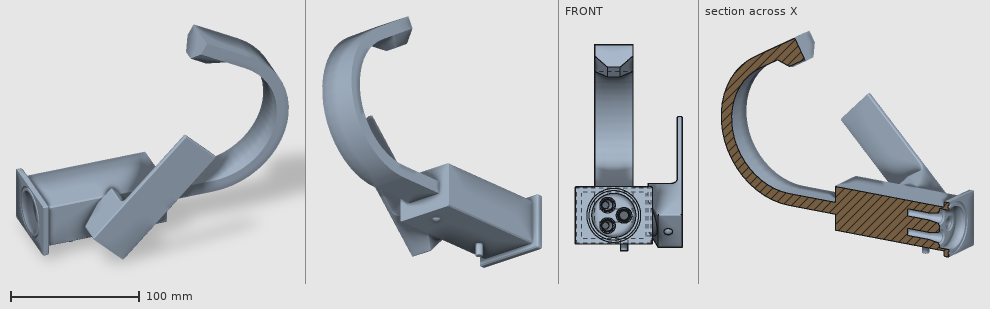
import cadquery as cq
import math


PLATE_WIDTH = 60.0
PLATE_HEIGHT = 45.0
PLATE_THICKNESS = 5.0
BODY_WIDTH = 50.0
BODY_HEIGHT = 36.1
BODY_TOP = 105.0
JOIN_OVERLAP = 2.0
BODY_CHAMFER = 1.0
PLATE_RIM_CHAMFER = 1.0
PLATE_CORNER_CHAMFER = 0.6

SPOUT_WIDTH = 30.0
SPOUT_THICKNESS = 10.0
TOTAL_REACH = 210.0
SPOUT_OUTER_RADIUS = 62.5
SPOUT_RISE_ANGLE = 30.0
SPOUT_END_LENGTH = 42.5

NOZZLE_TIP_WIDTH = SPOUT_WIDTH / 3
NOZZLE_DEPTH = SPOUT_THICKNESS
NOZZLE_ROOT_LENGTH = 24.2
NOZZLE_TIP_LENGTH = 15.1

PIVOT_Y = 58.0
COLLAR_RADIUS = 16.2
LEVER_TILT = 45.0
LEVER_WIDTH = 36.0
LEVER_LENGTH = 109.6
LEVER_INNER_X = 26.7
LEVER_OUTER_X = 53.3
BLADE_THICKNESS = 4.0
BLADE_ROOT_RADIUS = 5.0
LEVER_CUT_X = 34.5
LEVER_EDGE_RADIUS = 1.0
LEVER_SCREW_X = 42.5

GROOVE_OUTER_RADIUS = 21.0
GROOVE_INNER_RADIUS = 19.3
GROOVE_DEPTH = 1.0
RECESS_RADIUS = 17.2
RECESS_DEPTH = 8.8
PORT_RIM_RADIUS = 6.0
PORT_RIM_BEVEL = 1.0
PORT_RADIUS = 4.5
PORT_DEPTH = 9.5
SUPPLY_X = -4.8
SUPPLY_Z = 8.0
OUTLET_X = 8.0
THROAT_DEPTH = 20.0
SUPPLY_THROAT_RADIUS = 2.7
SUPPLY_THROAT_SHIFT = 1.7
OUTLET_THROAT_RADIUS = 3.5

PIN_X = OUTLET_X
PIN_Y = 30.7
PIN_RADIUS = 3.0
PIN_END_Z = -28.0
PIN_CHAMFER = 0.5
BODY_SCREW_Y = 91.0
SET_SCREW_RADIUS = 3.4
SET_SCREW_HEIGHT = 1.9


def block_along_y(width, height, start, end):
    """Rectangular block centred on the Y axis, from start to end."""
    return cq.Workplane("XY").box(width, end - start, height).translate((0, (start + end) / 2, 0))


def cylinder_along_y(x, z, radius, start, length):
    return cq.Workplane(cq.Solid.makeCylinder(radius, length, cq.Vector(x, start, z), cq.Vector(0, 1, 0)))


def make_plate_and_body():
    plate = block_along_y(PLATE_WIDTH, PLATE_HEIGHT, 0, PLATE_THICKNESS)
    plate = plate.edges("|Y").chamfer(PLATE_CORNER_CHAMFER).faces(">Y").chamfer(PLATE_RIM_CHAMFER)
    body = block_along_y(BODY_WIDTH, BODY_HEIGHT, 0, BODY_TOP).edges("|Y").chamfer(BODY_CHAMFER)
    return plate.union(body)


RISE = math.radians(SPOUT_RISE_ANGLE)
CURVE_Y = TOTAL_REACH - SPOUT_OUTER_RADIUS
CURVE_Z = SPOUT_OUTER_RADIUS - SPOUT_THICKNESS / 2


def on_curve(radius, angle):
    """Point on a circle about the spout curve centre, angle measured from +Y towards +Z."""
    return (CURVE_Y + radius * math.cos(angle), CURVE_Z + radius * math.sin(angle))


def on_end(along, inward):
    """Point on the rising end: distance along the outer face from the curve, and distance below it."""
    y, z = on_curve(SPOUT_OUTER_RADIUS - inward, math.pi / 2 - RISE)
    return (y - along * math.cos(RISE), z + along * math.sin(RISE))


def make_spout():
    inner_radius = SPOUT_OUTER_RADIUS - SPOUT_THICKNESS
    arc_middle = -RISE / 2
    start_y = BODY_TOP - JOIN_OVERLAP
    return (
        cq.Workplane("YZ")
        .moveTo(start_y, -SPOUT_THICKNESS / 2)
        .lineTo(CURVE_Y, -SPOUT_THICKNESS / 2)
        .threePointArc(on_curve(SPOUT_OUTER_RADIUS, arc_middle), on_end(0, 0))
        .lineTo(*on_end(SPOUT_END_LENGTH, 0))
        .lineTo(*on_end(SPOUT_END_LENGTH, SPOUT_THICKNESS))
        .lineTo(*on_end(0, SPOUT_THICKNESS))
        .threePointArc(on_curve(inner_radius, arc_middle), (CURVE_Y, SPOUT_THICKNESS / 2))
        .lineTo(start_y, SPOUT_THICKNESS / 2)
        .close()
        .extrude(SPOUT_WIDTH / 2, both=True)
    )


def make_nozzle():
    """Wedge under the spout end, narrowing downwards and cut back at its rear."""
    tip_inward = SPOUT_THICKNESS + NOZZLE_DEPTH
    side = (
        cq.Workplane("YZ")
        .polyline([
            on_end(SPOUT_END_LENGTH, 0),
            on_end(SPOUT_END_LENGTH, tip_inward),
            on_end(SPOUT_END_LENGTH - NOZZLE_TIP_LENGTH, tip_inward),
            on_end(SPOUT_END_LENGTH - NOZZLE_ROOT_LENGTH, SPOUT_THICKNESS),
            on_end(SPOUT_END_LENGTH - NOZZLE_ROOT_LENGTH, 0),
        ])
        .close()
        .extrude(SPOUT_WIDTH / 2, both=True)
    )
    end_y, end_z = on_end(SPOUT_END_LENGTH, 0)
    end_plane = cq.Plane(
        origin=(0, end_y, end_z),
        xDir=(1, 0, 0),
        normal=(0, -math.cos(RISE), math.sin(RISE)),
    )
    half_root = SPOUT_WIDTH / 2
    half_tip = NOZZLE_TIP_WIDTH / 2
    end_shape = (
        cq.Workplane(end_plane)
        .polyline([
            (-half_root, 0),
            (-half_root, -SPOUT_THICKNESS),
            (-half_tip, -tip_inward),
            (half_tip, -tip_inward),
            (half_root, -SPOUT_THICKNESS),
            (half_root, 0),
        ])
        .close()
        .extrude(-NOZZLE_ROOT_LENGTH)
    )
    return side.intersect(end_shape)


def make_set_screw():
    """Sphere whose domed cap stands out of the XY plane towards -Z as the end of a set screw."""
    sphere_radius = (SET_SCREW_RADIUS**2 + SET_SCREW_HEIGHT**2) / (2 * SET_SCREW_HEIGHT)
    return cq.Workplane("XY").sphere(sphere_radius).translate((0, 0, sphere_radius - SET_SCREW_HEIGHT))


def make_lever():
    """Lever modelled upright about the pivot, then tilted about X and moved to the pivot."""
    half = LEVER_WIDTH / 2
    blade_inner_x = LEVER_OUTER_X - BLADE_THICKNESS
    lever = (
        cq.Workplane("XY")
        .moveTo(LEVER_CUT_X, -half)
        .lineTo(LEVER_OUTER_X, -half)
        .lineTo(LEVER_OUTER_X, LEVER_LENGTH - half)
        .lineTo(blade_inner_x, LEVER_LENGTH - half)
        .lineTo(blade_inner_x, half + BLADE_ROOT_RADIUS)
        .radiusArc((blade_inner_x - BLADE_ROOT_RADIUS, half), BLADE_ROOT_RADIUS)
        .lineTo(LEVER_INNER_X, half)
        .lineTo(LEVER_INNER_X, 0)
        .close()
        .extrude(half, both=True)
    )
    lever = lever.faces(">Y").edges("|Z").fillet(LEVER_EDGE_RADIUS)
    lever = lever.faces(">Z or <Z").edges("not <X").fillet(LEVER_EDGE_RADIUS)
    screw = make_set_screw().rotate((0, 0, 0), (1, 0, 0), -90).translate((LEVER_SCREW_X, -half, 0))
    lever = lever.union(screw)
    return lever.rotate((0, 0, 0), (1, 0, 0), LEVER_TILT).translate((0, PIVOT_Y, 0))


def make_collar():
    """Round collar that carries the lever, running from inside the body into the lever block."""
    start_x = BODY_WIDTH / 2 - JOIN_OVERLAP
    length = LEVER_CUT_X - start_x
    return cq.Workplane(
        cq.Solid.makeCylinder(COLLAR_RADIUS, length, cq.Vector(start_x, PIVOT_Y, 0), cq.Vector(1, 0, 0))
    )


def make_pin():
    return (
        cq.Workplane("XY", origin=(PIN_X, PIN_Y, PIN_END_Z))
        .circle(PIN_RADIUS)
        .extrude(-PIN_END_Z - BODY_HEIGHT / 2 + JOIN_OVERLAP)
        .faces("<Z")
        .chamfer(PIN_CHAMFER)
    )


def make_base_recess():
    groove = cylinder_along_y(0, 0, GROOVE_OUTER_RADIUS, 0, GROOVE_DEPTH)
    groove = groove.cut(cylinder_along_y(0, 0, GROOVE_INNER_RADIUS, 0, GROOVE_DEPTH))
    return groove.union(cylinder_along_y(0, 0, RECESS_RADIUS, 0, RECESS_DEPTH))


def make_port(x, z, throat_radius, throat_shift):
    """Port in the recess floor: bevelled rim, tapering bore, and a narrow throat beyond it."""
    along_y = cq.Vector(0, 1, 0)
    rim_end_radius = PORT_RIM_RADIUS - PORT_RIM_BEVEL
    throat_y = RECESS_DEPTH + PORT_DEPTH
    floor_centre = cq.Vector(x, RECESS_DEPTH, z)
    throat_centre = cq.Vector(x - throat_shift, throat_y, z)
    rim = cq.Solid.makeCone(PORT_RIM_RADIUS, rim_end_radius, PORT_RIM_BEVEL, floor_centre, along_y)
    mouth = cq.Wire.makeCircle(PORT_RADIUS, floor_centre, along_y)
    neck = cq.Wire.makeCircle(throat_radius, throat_centre, along_y)
    bore = cq.Solid.makeLoft([mouth, neck])
    throat = cylinder_along_y(throat_centre.x, z, throat_radius, throat_y, THROAT_DEPTH)
    return throat.union(cq.Workplane(bore)).union(cq.Workplane(rim))


body_screw = make_set_screw().translate((0, BODY_SCREW_Y, -BODY_HEIGHT / 2))

result = make_plate_and_body()
for added in (make_spout(), make_nozzle(), make_collar(), make_lever(), make_pin(), body_screw):
    result = result.union(added)

result = result.cut(make_base_recess())
result = result.cut(make_port(OUTLET_X, 0, OUTLET_THROAT_RADIUS, 0))
for supply_z in (SUPPLY_Z, -SUPPLY_Z):
    result = result.cut(make_port(SUPPLY_X, supply_z, SUPPLY_THROAT_RADIUS, SUPPLY_THROAT_SHIFT))